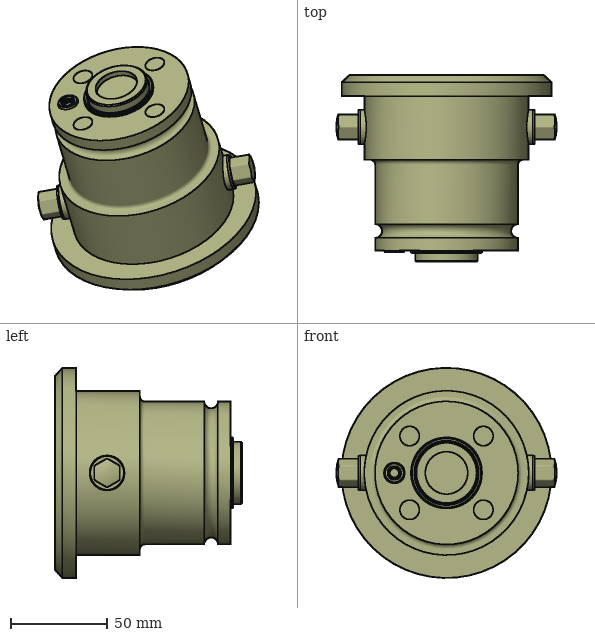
import cadquery as cq
import math

flange_radius = 54.5
flange_thickness = 11.0
flange_chamfer_axial = 3.9
flange_chamfer_radial = 4.2

body_radius = 42.6
shoulder_depth = 44.1
shoulder_fillet = 2.4

nose_radius = 37.1
nose_face_depth = 91.0
groove_radius = 3.5
groove_depth = 81.0

collar_radius = 18.4
collar_bore_radius = 16.7
collar_height = 1.4
collar_chamfer = 0.6

shaft_radius = 16.3
shaft_end_depth = 97.0
shaft_chamfer = 0.7
shaft_bore_radius = 11.0
shaft_bore_depth = 3.0

bolt_circle_radius = 27.0
bolt_radius = 5.0
bolt_recess = 0.1

nipple_radius = 5.4
nipple_height = 1.0
nipple_top_radius = 4.8
nipple_bore_radius = 2.9
nipple_bore_depth = 1.7
nipple_bore_chamfer = 0.7
nipple_pilot_radius = 2.4
nipple_pilot_depth = 2.9

plug_depth = 27.0
plug_tip = 57.2
plug_flange_radius = 9.0
plug_flange_face = 45.8
plug_flange_chamfer_axial = 1.0
plug_flange_chamfer_radial = 0.3
plug_hex_flats = 13.0
plug_hex_edge_fillet = 0.9
plug_dome_radius = 20.6
plug_root = 34.4


def front_disc(radius, depth, length, x=0.0):
    """Cylinder along Y whose rear end is at the given depth, running toward -Y."""
    return cq.Workplane("XZ", origin=(x, -depth, 0)).circle(radius).extrude(length)


def make_housing():
    """Flange, body and grooved nose as one revolved profile around Y."""
    profile = (
        cq.Workplane("XY")
        .moveTo(0, 0)
        .lineTo(flange_radius - flange_chamfer_radial, 0)
        .lineTo(flange_radius, -flange_chamfer_axial)
        .lineTo(flange_radius, -flange_thickness)
        .lineTo(body_radius, -flange_thickness)
        .lineTo(body_radius, -shoulder_depth)
        .lineTo(nose_radius + shoulder_fillet, -shoulder_depth)
        .radiusArc((nose_radius, -shoulder_depth - shoulder_fillet), -shoulder_fillet)
        .lineTo(nose_radius, -groove_depth + groove_radius)
        .threePointArc(
            (nose_radius - groove_radius, -groove_depth),
            (nose_radius, -groove_depth - groove_radius),
        )
        .lineTo(nose_radius, -nose_face_depth)
        .lineTo(0, -nose_face_depth)
        .close()
    )
    return profile.revolve(360, (0, 0, 0), (0, 1, 0))


def make_collar():
    """Low chamfered ring around the foot of the shaft, with a narrow gap to it."""
    disc = front_disc(collar_radius, nose_face_depth, collar_height)
    disc = disc.faces("<Y").chamfer(collar_chamfer)
    return disc.cut(front_disc(collar_bore_radius, nose_face_depth, collar_height))


def make_shaft():
    """Shaft stub with a chamfered rim and a shallow end bore."""
    shaft = front_disc(shaft_radius, nose_face_depth, shaft_end_depth - nose_face_depth)
    shaft = shaft.faces("<Y").chamfer(shaft_chamfer)
    bore_floor_depth = shaft_end_depth - shaft_bore_depth
    return shaft.cut(front_disc(shaft_bore_radius, bore_floor_depth, shaft_bore_depth))


def make_bolt_recesses():
    """Four shallow round seats at 45 degrees on the bolt circle."""
    first_angle = 45
    count = 4
    seats = cq.Workplane("XZ", origin=(0, -nose_face_depth + bolt_recess, 0))
    seats = seats.polarArray(bolt_circle_radius, first_angle, 360, count)
    return seats.circle(bolt_radius).extrude(bolt_recess)


def make_nipple():
    """Conical boss on the -X side of the nose face."""
    taper = math.degrees(math.atan((nipple_radius - nipple_top_radius) / nipple_height))
    seat = cq.Workplane("XZ", origin=(-bolt_circle_radius, -nose_face_depth, 0))
    return seat.circle(nipple_radius).extrude(nipple_height, taper=taper)


def make_nipple_bore():
    """Blind stepped bore of the boss with a countersunk mouth."""
    mouth_depth = nose_face_depth + nipple_height
    bore = front_disc(
        nipple_bore_radius, mouth_depth - nipple_bore_depth, nipple_bore_depth, x=-bolt_circle_radius
    )
    pilot = front_disc(
        nipple_pilot_radius, mouth_depth - nipple_pilot_depth, nipple_pilot_depth, x=-bolt_circle_radius
    )
    countersink = (
        cq.Workplane("XZ", origin=(-bolt_circle_radius, -mouth_depth, 0))
        .circle(nipple_bore_radius + nipple_bore_chamfer)
        .extrude(-nipple_bore_chamfer, taper=45)
    )
    return bore.union(pilot).union(countersink)


def make_plug():
    """Domed hexagon plug with a round flange, pointing toward +X."""
    chamfer_start = plug_flange_face - plug_flange_chamfer_axial
    axis_start = (0, -plug_depth, 0)
    axis_end = (1, -plug_depth, 0)
    flange = (
        cq.Workplane("XY")
        .moveTo(plug_root, -plug_depth)
        .lineTo(plug_root, -plug_depth + plug_flange_radius)
        .lineTo(chamfer_start, -plug_depth + plug_flange_radius)
        .lineTo(plug_flange_face, -plug_depth + plug_flange_radius - plug_flange_chamfer_radial)
        .lineTo(plug_flange_face, -plug_depth)
        .close()
        .revolve(360, axis_start, axis_end)
    )
    corner_diameter = plug_hex_flats / math.cos(math.pi / 6)
    hexagon = (
        cq.Workplane("YZ", origin=(plug_root, -plug_depth, 0))
        .transformed(rotate=(0, 0, 90))
        .polygon(6, corner_diameter)
        .extrude(plug_tip - plug_root)
        .edges("|X")
        .fillet(plug_hex_edge_fillet)
    )
    dome = cq.Workplane("XY", origin=(plug_tip - plug_dome_radius, -plug_depth, 0)).sphere(plug_dome_radius)
    return flange.union(hexagon.intersect(dome))


plug = make_plug()
result = (
    make_housing()
    .cut(make_bolt_recesses())
    .union(make_collar())
    .union(make_shaft())
    .union(make_nipple())
    .cut(make_nipple_bore())
    .union(plug)
    .union(plug.mirror("YZ"))
)